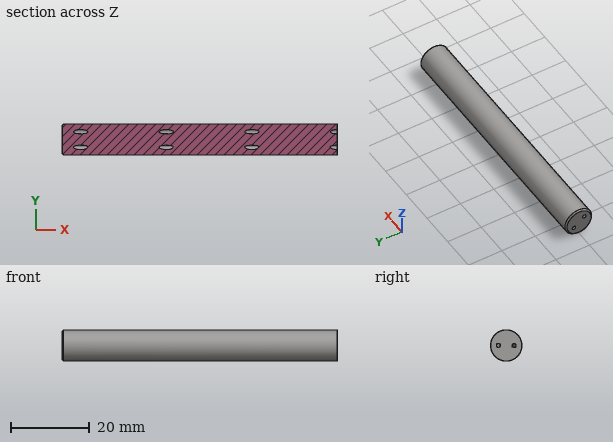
import cadquery as cq
import math

length = 70.0
diameter = 8.0
chamfer = 0.4

channel_count = 2
channel_diameter = 1.0
channel_circle_diameter = 4.0
helix_angle = 30.0
channel_start_angle = 141.0

channel_circle_radius = channel_circle_diameter / 2
helix_pitch = math.pi * diameter / math.tan(math.radians(helix_angle))
twist_angle = 360.0 * length / helix_pitch


def make_blank():
    """Round bar from X = 0 to X = length, chamfered at X = 0."""
    bar = cq.Workplane("YZ").circle(diameter / 2).extrude(length)
    return bar.faces("<X").chamfer(chamfer)


def make_channels():
    """Twisted cutters for the channels, evenly spaced around the axis."""
    openings = cq.Workplane("YZ")
    for index in range(channel_count):
        angle = math.radians(channel_start_angle + index * 360.0 / channel_count)
        center_y = channel_circle_radius * math.cos(angle)
        center_z = channel_circle_radius * math.sin(angle)
        openings = openings.moveTo(center_y, center_z).circle(channel_diameter / 2)
    return openings.twistExtrude(length, twist_angle)


result = make_blank().cut(make_channels())